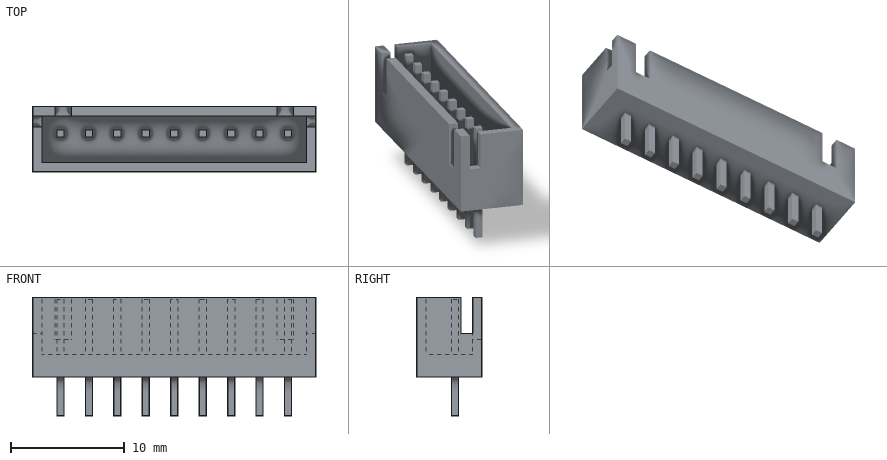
import cadquery as cq

pin_count = 9
pitch = 2.5
end_margin = 2.45
back_margin = 2.375
housing_depth = 5.75
housing_height = 7.0
wall = 0.83
floor_thickness = 2.0

pin_side = 0.64
pin_below = 3.4
pin_top = 6.8

back_slot_inset = 1.95
back_slot_width = 1.45
back_slot_depth = 3.7
end_slot_width = 1.0
end_slot_depth = 3.15

housing_length = (pin_count - 1) * pitch + 2 * end_margin
x_left = -end_margin
x_right = x_left + housing_length
y_back = back_margin
y_front = y_back - housing_depth
y_inner_back = y_back - wall


def block(x_range, y_range, z_range):
    """Axis-aligned box spanning the given (low, high) ranges."""
    size = [high - low for low, high in (x_range, y_range, z_range)]
    corner = (x_range[0], y_range[0], z_range[0])
    return cq.Workplane("XY").box(*size, centered=False).translate(corner)


def open_housing():
    outer = block((x_left, x_right), (y_front, y_back), (0, housing_height))
    cavity = block(
        (x_left + wall, x_right - wall),
        (y_front + wall, y_inner_back),
        (floor_thickness, housing_height),
    )
    return outer.cut(cavity)


def back_slot(x_low):
    """Slot through the back wall, open at the rim."""
    return block(
        (x_low, x_low + back_slot_width),
        (y_inner_back, y_back),
        (housing_height - back_slot_depth, housing_height),
    )


def end_slots():
    """Slots through both end walls, against the inside of the back wall."""
    return block(
        (x_left, x_right),
        (y_inner_back - end_slot_width, y_inner_back),
        (housing_height - end_slot_depth, housing_height),
    )


def pin(x):
    half = pin_side / 2
    return block((x - half, x + half), (-half, half), (-pin_below, pin_top))


result = open_housing().cut(end_slots())
for slot_x in (x_left + back_slot_inset, x_right - back_slot_inset - back_slot_width):
    result = result.cut(back_slot(slot_x))
for index in range(pin_count):
    result = result.union(pin(index * pitch))